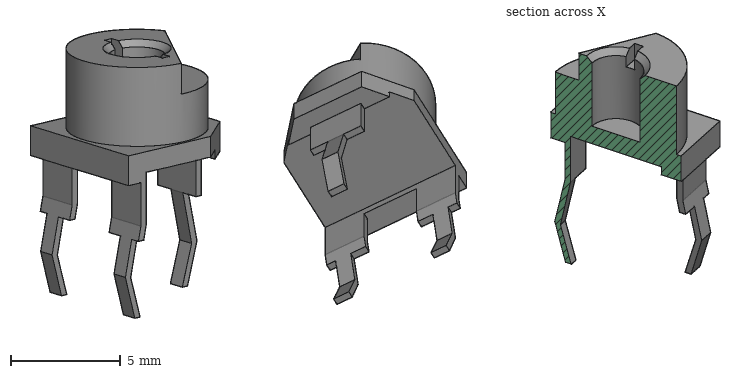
import cadquery as cq
import math

plate_width = 6.8
plate_length = 7.0
plate_top = 7.96
rim_bottom = 6.54
recess_ceiling = 6.97
recess_half_length = 2.42
back_edge_width = 3.53
corner_start_y = 1.49

total_height = 11.7
knob_diameter = 6.5
flat_distance = 1.66
flat_angle = 56.4
flat_depth = 1.46

hole_diameter = 2.55
hole_depth = total_height - plate_top
countersink_diameter = 3.12
countersink_depth = 0.29
slot_length = 4.02
slot_width = 0.45
slot_depth = 0.87

lead_thickness = 0.33
shoulder_bend_z = 4.48
knee_outer_z = 2.05
knee_inner_z = 1.98
knee_outer_y = 3.29
foot_inner_y = 2.39
front_tab_width = 2.04
front_tab_bottom = 3.78
front_leg_width = 0.8
front_leg_x = 2.54
rear_tab_width = 2.65
rear_leg_width = 0.83


def make_plate():
    half_width = plate_width / 2
    half_length = plate_length / 2
    half_back = back_edge_width / 2
    plate = (
        cq.Workplane("XY")
        .workplane(offset=rim_bottom)
        .moveTo(-half_width, -half_length)
        .lineTo(half_width, -half_length)
        .lineTo(half_width, corner_start_y)
        .lineTo(half_back, half_length)
        .lineTo(-half_back, half_length)
        .lineTo(-half_width, corner_start_y)
        .close()
        .extrude(plate_top - rim_bottom)
    )
    recess = cq.Workplane("XY").box(
        plate_width, 2 * recess_half_length, recess_ceiling - rim_bottom, centered=(True, True, False)
    )
    return plate.cut(recess.translate((0, 0, rim_bottom)))


def make_knob():
    knob = (
        cq.Workplane("XY")
        .workplane(offset=plate_top)
        .circle(knob_diameter / 2)
        .extrude(total_height - plate_top)
    )
    flat_cutter = (
        cq.Workplane("XY")
        .box(knob_diameter, knob_diameter, flat_depth, centered=(False, True, False))
        .translate((flat_distance, 0, total_height - flat_depth))
        .rotate((0, 0, 0), (0, 0, 1), flat_angle)
    )
    slot = (
        cq.Workplane("XY")
        .box(slot_length, slot_width, slot_depth, centered=(True, True, False))
        .translate((0, 0, total_height - slot_depth))
    )
    countersink_angle = 2 * math.degrees(
        math.atan2((countersink_diameter - hole_diameter) / 2, countersink_depth)
    )
    return (
        knob.faces(">Z")
        .workplane()
        .cskHole(hole_diameter, countersink_diameter, countersink_angle, depth=hole_depth)
        .cut(slot)
        .cut(flat_cutter)
    )


def lead_strip(x_centre, width, z_low, z_high):
    """Part of the bent rear-side lead profile, limited to one width and height range."""
    upper_inner_y = recess_half_length
    profile = [
        (upper_inner_y, recess_ceiling),
        (upper_inner_y, shoulder_bend_z),
        (knee_outer_y - lead_thickness, knee_inner_z),
        (foot_inner_y, 0),
        (foot_inner_y + lead_thickness, 0),
        (knee_outer_y, knee_outer_z),
        (upper_inner_y + lead_thickness, shoulder_bend_z),
        (upper_inner_y + lead_thickness, recess_ceiling),
    ]
    strip = (
        cq.Workplane("YZ")
        .workplane(offset=x_centre - width / 2)
        .polyline(profile)
        .close()
        .extrude(width)
    )
    window = cq.Workplane("XY").box(
        plate_width, plate_length, z_high - z_low, centered=(True, False, False)
    )
    return strip.intersect(window.translate((0, 0, z_low)))


def make_lead(leg_x, leg_width, tab_x, tab_width, tab_bottom):
    leg = lead_strip(leg_x, leg_width, 0, recess_ceiling)
    tab = lead_strip(tab_x, tab_width, tab_bottom, recess_ceiling)
    return leg.union(tab)


rear_lead = make_lead(0, rear_leg_width, 0, rear_tab_width, shoulder_bend_z)
result = make_plate().union(make_knob()).union(rear_lead)

front_tab_x = (plate_width - front_tab_width) / 2
for side in (-1, 1):
    front_lead = make_lead(
        side * front_leg_x, front_leg_width, side * front_tab_x, front_tab_width, front_tab_bottom
    )
    result = result.union(front_lead.mirror("XZ"))